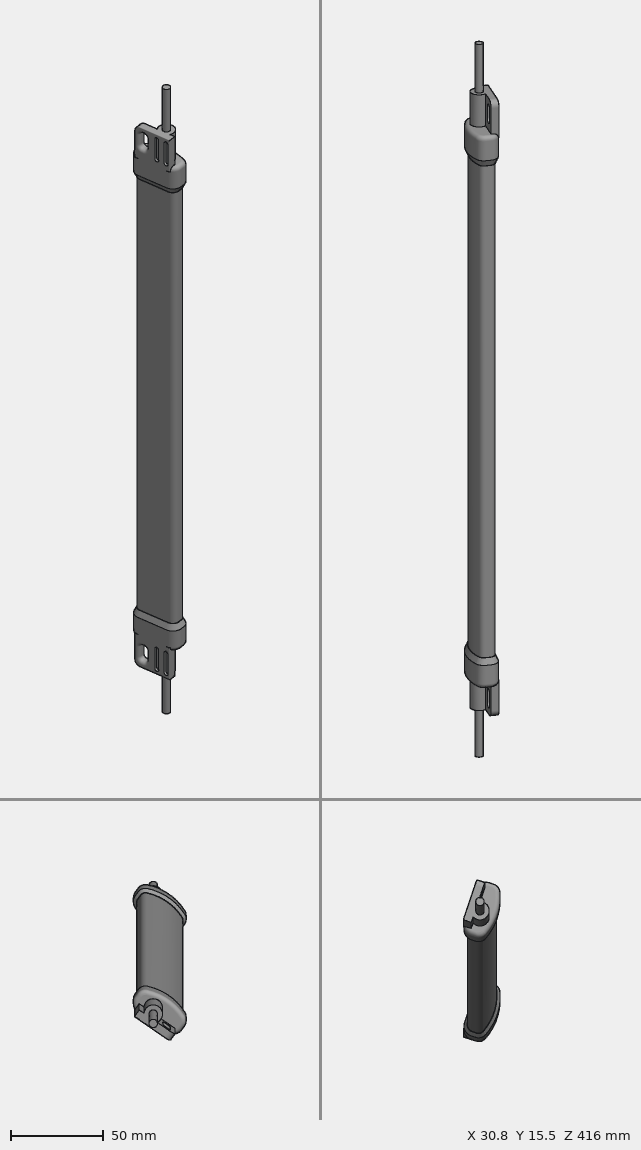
import cadquery as cq

cap_width = 30.8
cap_depth = 15.5
front_corner = 6.0
back_corner = 5.0
side_flat = 2.5
half_width = cap_width / 2
half_depth = cap_depth / 2
front_y = -half_depth

cable_end = 416.0 / 2
tab_end = 179.7
shoulder_z = 161.0
tube_end = 152.0
collar_z = 147.3
mouth_z = 143.5

tube_inset = 1.87
mouth_inset = 1.5
shoulder_round = 2.5

tab_width = 23.7
tab_thickness = 4.5
tab_corner = 3.7
tab_edge_round = 0.5
tab_root = shoulder_z - shoulder_round
tab_back_y = front_y + tab_thickness

cable_x = 4.35
cable_y = -0.62
cable_diameter = 4.5
boss_diameter = 10.0

eyelet_x = -6.2
eyelet_z = 170.5
eyelet_width = 5.0
eyelet_height = 11.0
eyelet_corner = 2.0
eyelet_rim = 2.0

groove_width = 2.5
groove_length = 16.0
groove_depth = 1.5
groove_z = 169.7
groove_xs = (3.1, 9.35)


def outline(z, inset=0.0):
    """Closed cap outline at height z, moved inwards by inset."""
    side = half_width - inset
    front = front_y + inset
    back = half_depth - inset
    front_x = half_width - front_corner
    flat_start = front_y + front_corner
    flat_end = flat_start + side_flat

    back_radius = back_corner - inset
    corner_x = side - back_radius
    rise = back - flat_end
    dome_radius = (corner_x**2 + rise**2 - back_radius**2) / (2 * (rise - back_radius))
    dome_center_y = back - dome_radius
    reach = dome_radius / (dome_radius - back_radius)
    dome_x = corner_x * reach
    dome_y = dome_center_y + (flat_end - dome_center_y) * reach

    return (
        cq.Workplane("XY", origin=(0, 0, z))
        .moveTo(-front_x, front)
        .lineTo(front_x, front)
        .tangentArcPoint((side, flat_start), relative=False)
        .lineTo(side, flat_end)
        .tangentArcPoint((dome_x, dome_y), relative=False)
        .threePointArc((0, back), (-dome_x, dome_y))
        .tangentArcPoint((-side, flat_end), relative=False)
        .lineTo(-side, flat_start)
        .tangentArcPoint((-front_x, front), relative=False)
        .close()
    )


def make_tube():
    return outline(-tube_end, tube_inset).extrude(2 * tube_end)


def make_cable():
    return (
        cq.Workplane("XY", origin=(cable_x, cable_y, tube_end))
        .circle(cable_diameter / 2)
        .extrude(cable_end - tube_end)
    )


def make_collar():
    """Cap body with a rounded shoulder and a mouth that tapers down to the tube."""
    body = outline(collar_z).extrude(shoulder_z - collar_z)
    body = body.faces(">Z").edges().fillet(shoulder_round)
    mouth_wires = [outline(mouth_z, mouth_inset).val(), outline(collar_z).val()]
    return body.union(cq.Workplane(cq.Solid.makeLoft(mouth_wires, True)))


def make_tab():
    """Plate flush with the cap front, with one rounded corner and an eyelet."""
    tab_height = tab_end - tab_root
    tab = (
        cq.Workplane("XY")
        .box(tab_width, tab_thickness, tab_height, centered=(True, False, False))
        .translate((0, front_y, tab_root))
        .edges("|Y and >Z and <X")
        .fillet(tab_corner)
    )
    tab = tab.faces("<Y").edges("not <Z").fillet(tab_edge_round)
    eyelet = (
        cq.Workplane("XZ", origin=(eyelet_x, tab_back_y, eyelet_z))
        .rect(eyelet_width, eyelet_height)
        .extrude(tab_thickness)
        .edges("|Y")
        .fillet(eyelet_corner)
    )
    rim_box = cq.selectors.BoxSelector(
        (eyelet_x - eyelet_width, front_y - eyelet_rim, eyelet_z - eyelet_height),
        (eyelet_x + eyelet_width, front_y + eyelet_rim, eyelet_z + eyelet_height),
    )
    return tab.cut(eyelet).edges(rim_box).fillet(eyelet_rim)


def make_boss():
    return (
        cq.Workplane("XY", origin=(cable_x, cable_y, tube_end))
        .circle(boss_diameter / 2)
        .extrude(tab_end - tube_end)
    )


def make_grooves():
    return (
        cq.Workplane("XZ", origin=(0, front_y + groove_depth, groove_z))
        .pushPoints([(x, 0) for x in groove_xs])
        .slot2D(groove_length, groove_width, 90)
        .extrude(groove_depth)
    )


def make_cap():
    cap = make_collar().union(make_tab()).union(make_boss())
    return cap.cut(make_grooves()).cut(make_tube()).cut(make_cable())


tube = make_tube()
upper_cap = make_cap()
upper_cable = make_cable()

bodies = [tube.val()]
for end_body in (upper_cap, upper_cable):
    bodies.append(end_body.val())
    bodies.append(end_body.mirror("XY").val())

result = cq.Compound.makeCompound(bodies)